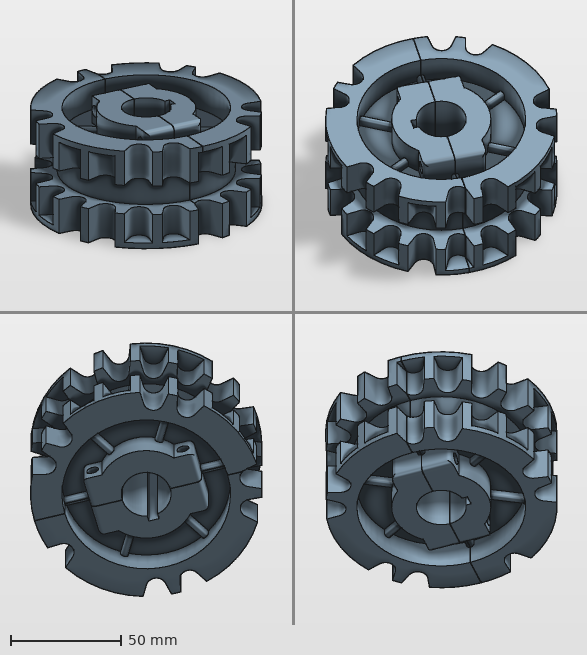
import math

import cadquery as cq


outer_diameter = 105.0
total_height = 47.6
disc_thickness = 16.8
core_diameter = 81.0
split_gap = 0.2

recess_diameter = 76.5
recess_depth = 13.3

hub_diameter = 45.0
ear_span = 51.9
ear_width = 29.6
ear_fillet = 2.5
bore_diameter = 22.5
keyway_width = 4.8
keyway_top = 13.5
bolt_hole_diameter = 5.5
bolt_spacing = 42.4

rib_count = 6
rib_width = 3.6
rib_wall_height = 2.0

gap_count = 19
gap_pitch = 360.0 / gap_count
gap_root_radius = 43.3
gap_arc_radius = 4.6
gap_flank_angle = 20.0
cap_thickness = 2.8
first_gap_angle = -90.0
gaps_open_at_top = (0, 3, 4, 7, 8, 11, 12, 14, 15, 18)

outer_radius = outer_diameter / 2
top_z = total_height / 2
disc_inner_z = top_z - disc_thickness
web_top_z = top_z - recess_depth
bolt_z = top_z - recess_depth / 2
cutter_size = 2 * outer_diameter


def cylinder(diameter, bottom_z, height):
    return cq.Workplane("XY").workplane(offset=bottom_z).circle(diameter / 2).extrude(height)


def make_blank():
    """Core with the two discs, recessed from both ends down to the web."""
    blank = cylinder(core_diameter, -top_z, total_height)
    for bottom_z in (-top_z, disc_inner_z):
        blank = blank.union(cylinder(outer_diameter, bottom_z, disc_thickness))
    for bottom_z in (-top_z, web_top_z):
        blank = blank.cut(cylinder(recess_diameter, bottom_z, recess_depth))
    return blank


def make_gap(angle, bottom_z, gap_top_z):
    """Tooth gap between two heights: round root with straight flanks opening outward."""
    flank = math.radians(gap_flank_angle)
    arc_center = gap_root_radius + gap_arc_radius
    tangent_x = arc_center - gap_arc_radius * math.sin(flank)
    tangent_y = gap_arc_radius * math.cos(flank)
    mouth_x = outer_radius + gap_arc_radius
    mouth_y = tangent_y + (mouth_x - tangent_x) * math.tan(flank)
    gap = (
        cq.Workplane("XY")
        .workplane(offset=bottom_z)
        .moveTo(mouth_x, -mouth_y)
        .lineTo(tangent_x, -tangent_y)
        .threePointArc((gap_root_radius, 0), (tangent_x, tangent_y))
        .lineTo(mouth_x, mouth_y)
        .close()
        .extrude(gap_top_z - bottom_z)
    )
    return gap.rotate((0, 0, 0), (0, 0, 1), angle)


def cut_tooth_gaps(body):
    for number in range(gap_count):
        angle = first_gap_angle + number * gap_pitch
        if number in gaps_open_at_top:
            bottom_z, gap_top_z = cap_thickness - top_z, top_z
        else:
            bottom_z, gap_top_z = -top_z, top_z - cap_thickness
        body = body.cut(make_gap(angle, bottom_z, gap_top_z))
    return body


def make_ribs():
    """Radial ribs with a half-round crest on the top and bottom of the web."""
    crest_z = web_top_z + rib_wall_height
    rib_length = (recess_diameter + core_diameter) / 4
    profile = (
        cq.Workplane("YZ")
        .moveTo(-rib_width / 2, -crest_z)
        .lineTo(-rib_width / 2, crest_z)
        .threePointArc((0, crest_z + rib_width / 2), (rib_width / 2, crest_z))
        .lineTo(rib_width / 2, -crest_z)
        .threePointArc((0, -crest_z - rib_width / 2), (-rib_width / 2, -crest_z))
        .close()
    )
    rib = profile.extrude(rib_length)
    ribs = rib
    for number in range(1, rib_count):
        ribs = ribs.union(rib.rotate((0, 0, 0), (0, 0, 1), number * 360.0 / rib_count))
    return ribs


def make_hub():
    """Round hub with a clamping ear on each side; every edge of the ear end faces is rounded."""
    ears = cq.Workplane("XY").box(ear_span, ear_width, total_height).edges("|Z").fillet(ear_fillet)
    end_rounding = (
        cq.Workplane("XZ")
        .rect(ear_span, total_height)
        .extrude(ear_width / 2, both=True)
        .edges("|Y")
        .fillet(ear_fillet)
    )
    return ears.intersect(end_rounding).union(cylinder(hub_diameter, -top_z, total_height))


def make_bore():
    keyway = cq.Workplane("XY").box(
        keyway_width, keyway_top, total_height, centered=(True, False, True)
    )
    return cylinder(bore_diameter, -top_z, total_height).union(keyway)


def make_bolt_holes():
    """Holes along Y through the ears, above and below the web."""
    centers = [(side * bolt_spacing / 2, end * bolt_z) for side in (-1, 1) for end in (-1, 1)]
    return (
        cq.Workplane("XZ")
        .pushPoints(centers)
        .circle(bolt_hole_diameter / 2)
        .extrude(ear_width / 2, both=True)
    )


def make_sprocket():
    sprocket = cut_tooth_gaps(make_blank())
    sprocket = sprocket.union(make_ribs()).union(make_hub())
    return sprocket.cut(make_bolt_holes()).cut(make_bore())


def make_sprocket_half(sprocket, side):
    """Part of the sprocket on one side of the XZ plane: side -1 is front, +1 is back."""
    offset = side * (cutter_size + split_gap) / 2
    half_space = cq.Workplane("XY").box(cutter_size, cutter_size, cutter_size)
    return sprocket.intersect(half_space.translate((0, offset, 0)))


full_sprocket = make_sprocket()
front_half = make_sprocket_half(full_sprocket, -1)
back_half = make_sprocket_half(full_sprocket, 1)

result = cq.Compound.makeCompound([front_half.val(), back_half.val()])